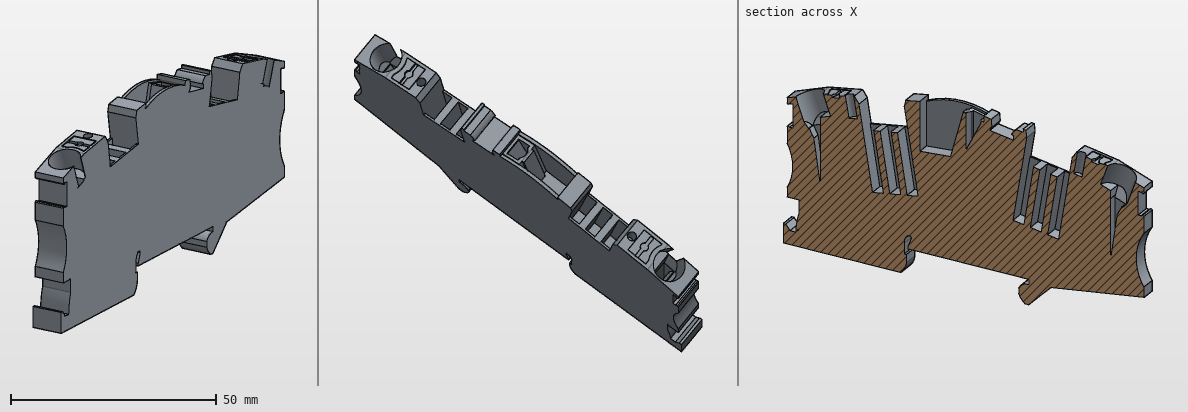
import cadquery as cq
import math

thickness = 8.2
half_length = 49.9
foot_overhang = 1.0

crease_y, crease_z = 40.4, 43.4
shoulder_y = 31.0
inner_tilt = 10
outer_tilt = 20
shoulder_z = crease_z + (crease_y - shoulder_y) * math.tan(math.radians(inner_tilt))
end_z = crease_z - (half_length - crease_y) * math.tan(math.radians(outer_tilt))

groove_tilt = 9.3
groove_outer_y, groove_outer_z = 28.6, 36.5
groove_inner_y = 16.0
groove_inner_z = groove_outer_z + (groove_outer_y - groove_inner_y) * math.tan(math.radians(groove_tilt))
bevel_z = 43.2
bevel_y = groove_outer_y + (bevel_z - groove_outer_z) * math.tan(math.radians(groove_tilt))

arch_start_y, arch_start_z = 5.0, 47.4
arch_mid_y, arch_top_z = -2.9, 48.9
arch_end_y, arch_end_z = -12.7, 46.8

rail_z = 7.0
lower_edge_z = 12.8
foot_tip_z = 5.4


def prism(outline):
    """Extrude a closed Y-Z outline over the full thickness."""
    return outline.close().extrude(thickness / 2, both=True)


def side_outline(y, z):
    """Start a Y-Z outline on the middle plane of the thickness."""
    return cq.Workplane("YZ").moveTo(y, z)


def shoulder_points(side):
    """Upper corners of one half, from the end face to the foot of the head."""
    corners = [
        (half_length, end_z),
        (crease_y, crease_z),
        (shoulder_y, shoulder_z),
        (bevel_y, bevel_z),
        (groove_outer_y, groove_outer_z),
        (groove_inner_y, groove_inner_z),
    ]
    return [(side * y, z) for y, z in corners]


def housing():
    upper = shoulder_points(1) + shoulder_points(-1)[::-1]
    foot_end_y = -half_length - foot_overhang
    hook_wall_y, hook_floor_z = -46.6, 3.9
    jaw_y, seat_end_y = -16.4, -16.1
    slot_wall_y, slot_top_z = -17.0, 10.6
    latch_root_y, latch_nose_y = 17.6, 14.8
    outline = (
        side_outline(half_length, 10.0)
        .polyline(upper, includeCurrent=True)
        .lineTo(-half_length, lower_edge_z)
        .lineTo(hook_wall_y, lower_edge_z)
        .lineTo(hook_wall_y, 9.4)
        .threePointArc((-47.2, 7.1), (-47.5, hook_floor_z))
        .lineTo(-49.0, hook_floor_z)
        .lineTo(-50.2, foot_tip_z)
        .lineTo(foot_end_y, foot_tip_z)
        .lineTo(foot_end_y, 0)
        .lineTo(-18.1, 0)
        .threePointArc((-16.9, 1.5), (jaw_y, 3.2))
        .lineTo(jaw_y, foot_tip_z)
        .lineTo(slot_wall_y, foot_tip_z)
        .lineTo(slot_wall_y, 8.5)
        .threePointArc((-16.8, 9.7), (-16.1, slot_top_z))
        .lineTo(-15.4, slot_top_z)
        .lineTo(-15.2, 10.1)
        .lineTo(seat_end_y, 7.7)
        .lineTo(seat_end_y, rail_z)
        .lineTo(latch_root_y, rail_z)
        .lineTo(latch_root_y, 5.6)
        .threePointArc((15.9, 5.2), (latch_nose_y, 3.9))
        .lineTo(latch_nose_y, 2.4)
        .threePointArc((15.5, 1.1), (16.6, 0))
        .lineTo(latch_root_y, 0)
        .lineTo(23.9, 6.2)
    )
    return prism(outline)


def head():
    """Raised middle: marker clip, label seat and arched plug cover."""
    head_root_z = 30.2
    wall_top_z = 45.7
    wall_top_y = groove_inner_y + (wall_top_z - groove_inner_z) * math.tan(math.radians(groove_tilt))
    outline = (
        side_outline(groove_inner_y, groove_inner_z)
        .lineTo(wall_top_y, wall_top_z)
        .lineTo(16.9, 47.6)
        .lineTo(16.1, 47.7)
        .lineTo(16.1, 46.9)
        .lineTo(14.2, 47.1)
        .threePointArc((13.5, 46.5), (12.8, 45.4))
        .lineTo(13.3, 45.2)
        .lineTo(13.3, 44.0)
        .lineTo(6.9, 45.1)
        .lineTo(7.5, 46.1)
        .lineTo(7.3, 48.2)
        .lineTo(5.1, 48.6)
        .lineTo(arch_start_y, arch_start_z)
        .threePointArc((arch_mid_y, arch_top_z), (arch_end_y, arch_end_z))
        .lineTo(arch_end_y, 48.2)
        .lineTo(-16.7, 47.5)
        .lineTo(-wall_top_y, wall_top_z)
        .lineTo(-groove_inner_y, groove_inner_z)
        .lineTo(-groove_inner_y, head_root_z)
        .lineTo(groove_inner_y, head_root_z)
    )
    return prism(outline)


def end_recess():
    """Shallow window below the +Y lip, edged by a small ridge above and below."""
    bottom_z, top_z, ridge = 32.2, 38.5, 0.3
    floor_y, ridge_y, tip_y = 48.3, 49.1, 49.6
    return prism(side_outline(floor_y, top_z).polyline([
        (floor_y, bottom_z),
        (ridge_y, bottom_z),
        (tip_y, bottom_z + ridge),
        (half_length, bottom_z),
        (half_length, top_z),
        (tip_y, top_z - ridge),
        (ridge_y, top_z),
    ], includeCurrent=True))


def finger_scoop(side, bottom_z, depth):
    """Concave arc hollowed out of the +Y (side 1) or -Y (side -1) end face."""
    top_z = 27.5
    middle = (side * (half_length - depth), (bottom_z + top_z) / 2)
    outline = side_outline(side * half_length, bottom_z).threePointArc(middle, (side * half_length, top_z))
    return prism(outline)


def leaning_plane(y, z, tilt):
    """Plane whose local x is the part's X and whose normal leans towards +Y."""
    angle = math.radians(tilt)
    normal = (0, math.sin(angle), math.cos(angle))
    return cq.Workplane(cq.Plane(origin=(0, y, z), xDir=(1, 0, 0), normal=normal))


def inner_top_plane(y):
    z = crease_z + (crease_y - y) * math.tan(math.radians(inner_tilt))
    return leaning_plane(y, z, inner_tilt)


bore_y = 43.6
bore_x = 0.4
bore_radius = 4.0
bore_depth = 6.0
bore_clearance = 2.0
funnel_end_depth = 8.6
chamber_x = 0.15
chamber_width = 4.2
chamber_inner_y, chamber_bend_y, chamber_outer_y = 40.6, 42.3, 43.8


def bore_plane(depth):
    z = crease_z - (bore_y - crease_y) * math.tan(math.radians(outer_tilt))
    return leaning_plane(bore_y, z, outer_tilt).workplane(offset=-depth)


def bore_cylinder(radius, depth):
    top = bore_plane(-bore_clearance).center(bore_x, 0)
    return top.circle(radius).extrude(-depth - bore_clearance)


def funnel():
    """Tapered passage from the floor of the bore to the contact chamber."""
    mouth_width, mouth_length, mouth_shift = 8.1, 5.2, 1.6
    lean = math.radians(outer_tilt)
    axis_y = bore_y - funnel_end_depth * math.sin(lean)
    throat_shift = ((chamber_inner_y + chamber_outer_y) / 2 - axis_y) / math.cos(lean)
    throat_length = (chamber_outer_y - chamber_inner_y) / math.cos(lean)
    taper = (
        bore_plane(bore_depth)
        .center(bore_x, mouth_shift)
        .rect(mouth_width, mouth_length)
        .workplane(offset=bore_depth - funnel_end_depth)
        .center(chamber_x - bore_x, throat_shift - mouth_shift)
        .rect(chamber_width, throat_length)
        .loft(combine=True)
    )
    return taper.intersect(bore_cylinder(bore_radius, funnel_end_depth))


def contact_chamber():
    """Wedge-shaped well below the funnel, its outer wall bent once on the way down."""
    top_inner_z, top_outer_z = 34.8, 33.6
    bend_z, bottom_z = 30.8, 19.2
    wedge = side_outline(chamber_inner_y, top_inner_z).polyline([
        (chamber_outer_y, top_outer_z),
        (chamber_bend_y, bend_z),
        (chamber_inner_y, bottom_z),
    ], includeCurrent=True)
    return wedge.close().extrude(chamber_width / 2, both=True).translate((chamber_x, 0, 0))


def release_button():
    """Faint rectangular inset, rounded off around the bore, with a slot and a round dimple."""
    button_y, slot_y = 36.5, 36.4
    width, length, inset = 6.5, 5.5, 0.2
    slot_width, dimple_radius, slot_depth = 0.9, 1.0, 0.8
    bore_collar_radius = 5.2
    button = inner_top_plane(button_y).rect(width, length).extrude(-inset)
    button = button.cut(bore_cylinder(bore_collar_radius, bore_depth))
    slot = inner_top_plane(slot_y).rect(width, slot_width).extrude(-slot_depth)
    dimple = inner_top_plane(slot_y).circle(dimple_radius).extrude(-slot_depth)
    return button.union(slot).union(dimple)


def test_hole():
    hole_y, radius, depth = 32.5, 1.1, 6.0
    return inner_top_plane(hole_y).circle(radius).extrude(-depth)


def groove_pockets():
    """Row of deep slots in the groove floor, parallel to the leaning outer wall."""
    count = 3
    width, length, depth = 7.1, 2.9, 16.6
    pitch = (groove_outer_y - groove_inner_y - length) / (count - 1)
    lean = math.radians(groove_tilt)
    pockets = cq.Workplane("XY")
    for i in range(count):
        y = groove_outer_y - length / 2 - i * pitch
        z = groove_outer_z + (groove_outer_y - y) * math.tan(lean)
        mouth = leaning_plane(y, z, groove_tilt).rect(width, length / math.cos(lean))
        pockets = pockets.union(mouth.extrude(-depth))
    return pockets


def plug_pocket():
    """Opening under the arch: a platform, then a deep well with a leaning back wall."""
    pocket_width, rib_width = 6.4, 3.9
    above_z = arch_top_z + 1.0
    rib_depth = 0.6
    platform_start_z, platform_edge_y, platform_edge_z = 47.0, -0.1, 48.2
    well_y, well_z, well_end_z = -3.6, 35.3, 34.6
    opening = side_outline(arch_start_y, above_z).polyline([
        (arch_start_y, platform_start_z),
        (platform_edge_y, platform_edge_z),
        (well_y, well_z),
        (arch_end_y, well_end_z),
        (arch_end_y, above_z),
    ], includeCurrent=True)
    rib = side_outline(platform_edge_y, platform_edge_z).polyline([
        (platform_edge_y - rib_depth, platform_edge_z),
        (well_y - rib_depth, well_z),
        (well_y, well_z),
    ], includeCurrent=True)
    opening = opening.close().extrude(pocket_width / 2, both=True)
    return opening.cut(rib.close().extrude(rib_width / 2, both=True))


def plug_socket():
    """Blind socket in the platform: one bulging end and a steep floor falling towards it."""
    outer_y, inner_y, half_width = 4.2, 0.9, 2.3
    bulge_y, bulge_radius = 2.4, 2.2
    bottom_z, floor_end_y = 38.3, 0.2
    floor_start_z = 46.4
    height = arch_top_z - bottom_z
    base = cq.Workplane("XY").workplane(offset=bottom_z)
    straight = base.center(0, (outer_y + inner_y) / 2).rect(2 * half_width, outer_y - inner_y).extrude(height)
    bulge = base.center(0, bulge_y).circle(bulge_radius).extrude(height)
    floor_wedge = side_outline(outer_y, floor_start_z).polyline([
        (floor_end_y, bottom_z),
        (floor_end_y, arch_top_z),
        (outer_y, arch_top_z),
    ], includeCurrent=True)
    return straight.union(bulge).intersect(prism(floor_wedge))


result = housing().union(head())

paired_cuts = [
    end_recess(),
    bore_cylinder(bore_radius, bore_depth),
    funnel(),
    contact_chamber(),
    release_button(),
    test_hole(),
    groove_pockets(),
]
for cut in paired_cuts:
    result = result.cut(cut).cut(cut.mirror("XZ"))

result = result.cut(finger_scoop(1, 12.9, 2.1)).cut(finger_scoop(-1, 15.5, 1.5))
result = result.cut(plug_pocket()).cut(plug_socket())